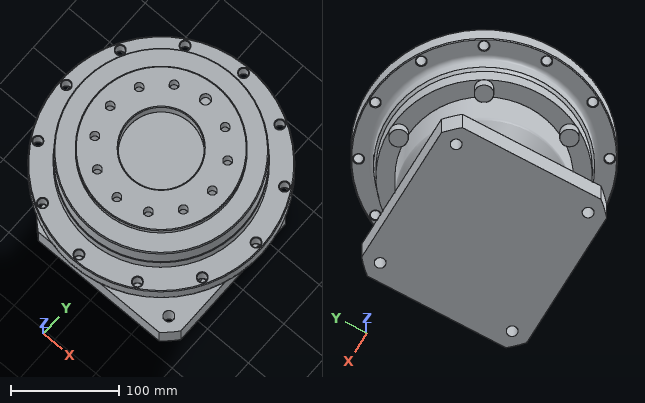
import cadquery as cq
import math

plate_top = 28.2
neck_top = 64.5
barrel_bottom = 82.0
housing_bottom = 128.0
pilot_bottom = 145.7
flange_bottom = 166.2
flange_top = 186.7
collar_top = 202.0
head_top = 228.7
output_top = 236.5

neck_radius = 65.0
barrel_radius = 82.5
housing_radius = 100.0
pilot_radius = 102.3
flange_radius = 123.5
head_radius = 99.3
output_radius = 79.5

edge_chamfer = 1.0
head_chamfer_height = 2.0
head_chamfer_inset = 1.0
lead_in_height = 4.5
lead_in_shoulder_height = 2.5
lead_in_shoulder_inset = 0.7
pilot_fillet = 4.5
barrel_fillet = 4.5

plate_side = 176.4
plate_corner_radius = 115.0
plate_hole_spacing = 140.8
plate_hole_diameter = 10.9

flange_hole_count = 12
flange_hole_circle = 116.0
flange_hole_diameter = 9.5
flange_hole_chamfer = 0.7

output_positions = 12
output_hole_circle = 62.5
output_hole_diameter = 9.0
output_hole_depth = 14.8
drill_tip_angle = 118.0
dowel_diameter = 10.9
dowel_depth = 12.4
dowel_angle = 90.0
bore_radius = 39.8
bore_depth = 15.8

screw_count = 6
screw_circle = 91.1
screw_start_angle = 30.0
screw_head_diameter = 18.0
screw_head_height = 11.4


def polar_points(radius, angles):
    """Points on a circle about the axis at the given angles in degrees."""
    return [(radius * math.cos(math.radians(a)), radius * math.sin(math.radians(a))) for a in angles]


def even_angles(count, start=0.0):
    """Angles of a full evenly spaced ring."""
    return [start + 360.0 * i / count for i in range(count)]


def cylinders(points, diameter, bottom, height):
    """Equal upright cylinders standing at one level."""
    return cq.Workplane("XY", origin=(0, 0, bottom)).pushPoints(points).circle(diameter / 2).extrude(height)


def disc(radius, bottom, top):
    """Solid disc on the axis between two heights."""
    return cq.Workplane("XY", origin=(0, 0, bottom)).circle(radius).extrude(top - bottom)


def turned_body():
    """Neck, cone, barrel, housing, flange and output head, all round the axis."""
    barrel = (
        cq.Workplane("XZ")
        .moveTo(0, plate_top)
        .lineTo(neck_radius, plate_top)
        .lineTo(neck_radius, neck_top)
        .lineTo(barrel_radius, barrel_bottom)
        .lineTo(barrel_radius, housing_bottom)
        .lineTo(0, housing_bottom)
        .close()
        .revolve(360, (0, 0, 0), (0, 1, 0))
    )
    rim_centre = cq.selectors.NearestToPointSelector((0, 0, barrel_bottom))
    barrel = barrel.edges("%CIRCLE").edges(rim_centre).fillet(barrel_fillet)

    housing = disc(housing_radius, housing_bottom, pilot_bottom)
    flange = disc(flange_radius, flange_bottom, flange_top).edges("%CIRCLE").chamfer(edge_chamfer)
    collar = disc(housing_radius, flange_top, collar_top)
    collar = collar.faces(">Z").edges().chamfer(housing_radius - head_radius)
    head = disc(head_radius, collar_top, head_top)
    head = head.faces(">Z").edges().chamfer(head_chamfer_height, head_chamfer_inset)
    output = disc(output_radius, head_top, output_top)
    output = output.faces(">Z").edges().chamfer(edge_chamfer)

    pilot = (
        cq.Workplane("XZ")
        .moveTo(0, pilot_bottom)
        .lineTo(housing_radius, pilot_bottom)
        .lineTo(pilot_radius - lead_in_shoulder_inset, pilot_bottom + lead_in_shoulder_height)
        .lineTo(pilot_radius, pilot_bottom + lead_in_height)
        .lineTo(pilot_radius, flange_bottom - pilot_fillet)
        .radiusArc((pilot_radius + pilot_fillet, flange_bottom), pilot_fillet)
        .lineTo(0, flange_bottom)
        .close()
        .revolve(360, (0, 0, 0), (0, 1, 0))
    )

    body = barrel
    for section in (housing, pilot, flange, collar, head, output):
        body = body.union(section)
    return body


def motor_plate():
    """Square plate with rounded-off corners and four through holes."""
    square = cq.Workplane("XY").rect(plate_side, plate_side).extrude(plate_top)
    plate = square.intersect(disc(plate_corner_radius, 0, plate_top))
    half = plate_hole_spacing / 2
    corners = [(x, y) for x in (-half, half) for y in (-half, half)]
    return plate.cut(cylinders(corners, plate_hole_diameter, 0, plate_top))


def screw_heads():
    """Ring of screw heads hanging under the housing."""
    points = polar_points(screw_circle, even_angles(screw_count, screw_start_angle))
    return cylinders(points, screw_head_diameter, housing_bottom - screw_head_height, screw_head_height)


def flange_holes():
    """Through holes round the flange, countersunk slightly at both ends."""
    hole_radius = flange_hole_diameter / 2
    mouth_radius = hole_radius + flange_hole_chamfer
    hole = (
        cq.Workplane("XZ")
        .moveTo(0, flange_bottom)
        .lineTo(mouth_radius, flange_bottom)
        .lineTo(hole_radius, flange_bottom + flange_hole_chamfer)
        .lineTo(hole_radius, flange_top - flange_hole_chamfer)
        .lineTo(mouth_radius, flange_top)
        .lineTo(0, flange_top)
        .close()
        .revolve(360, (0, 0, 0), (0, 1, 0))
    )
    holes = cq.Workplane("XY")
    for x, y in polar_points(flange_hole_circle, even_angles(flange_hole_count)):
        holes = holes.add(hole.translate((x, y, 0)))
    return holes.combine()


def output_face_cuts():
    """Drilled ring, dowel hole and chamfered centre bore of the output face."""
    hole_radius = output_hole_diameter / 2
    tip_depth = hole_radius / math.tan(math.radians(drill_tip_angle / 2))
    drill = (
        cq.Workplane("XZ")
        .moveTo(0, output_top)
        .lineTo(hole_radius, output_top)
        .lineTo(hole_radius, output_top - output_hole_depth)
        .lineTo(0, output_top - output_hole_depth - tip_depth)
        .close()
        .revolve(360, (0, 0, 0), (0, 1, 0))
    )
    bore_floor = output_top - bore_depth
    cuts = disc(bore_radius, bore_floor, output_top)
    rim = cq.Solid.makeCone(
        bore_radius, bore_radius + edge_chamfer, edge_chamfer, cq.Vector(0, 0, output_top - edge_chamfer)
    )
    cuts = cuts.union(cq.Workplane(rim))

    dowel_point = polar_points(output_hole_circle, [dowel_angle])
    cuts = cuts.union(cylinders(dowel_point, dowel_diameter, output_top - dowel_depth, dowel_depth))

    drilled_angles = [a for a in even_angles(output_positions) if a != dowel_angle]
    for x, y in polar_points(output_hole_circle, drilled_angles):
        cuts = cuts.union(drill.translate((x, y, 0)))
    return cuts


result = (
    turned_body()
    .union(motor_plate())
    .union(screw_heads())
    .cut(flange_holes())
    .cut(output_face_cuts())
)